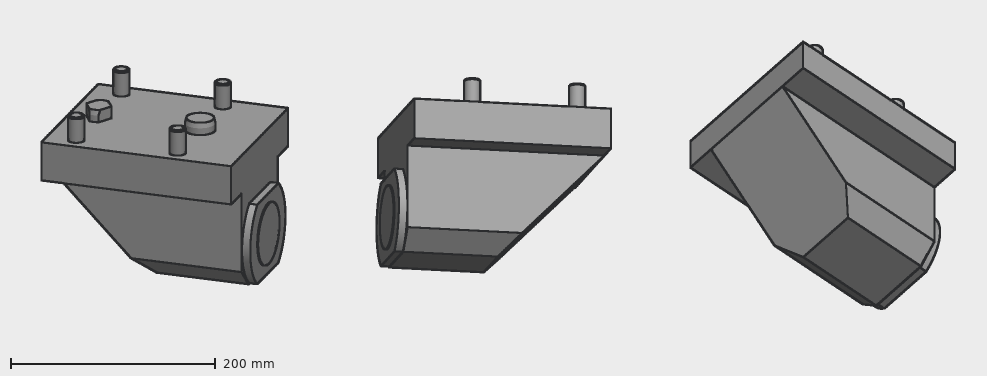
import cadquery as cq
import math

plate_length = 196.5
plate_width = 168.0
plate_thickness = 40.0
plate_top = plate_thickness

body_depth = 102.0
body_width = 106.5
body_edge_chamfer = 20.0

pin_diameter = 16.0
pin_height = 26.2
pin_chamfer = 1.5
pin_first_x = 30.0
pin_spacing_x = 104.9
pin_spacing_y = 133.3
pin_second_x = pin_first_x + pin_spacing_x

locator_diameter = 30.0
locator_height = 12.4
locator_chamfer_height = 5.5
locator_chamfer_inset = 1.5
diamond_width = 25.8
diamond_flank_angle = 60

total_length = 206.0
flange_diameter = 104.0
flange_height = 83.2
flange_thickness = 8.5
flange_center_z = 42.0 - body_depth
face_diameter = 63.0
face_thickness = total_length - plate_length - flange_thickness


def make_plate():
    return cq.Workplane("XY").box(
        plate_length, plate_width, plate_thickness, centered=(False, True, False)
    )


def make_body():
    side_outline = [
        (0, 0),
        (plate_length, 0),
        (plate_length, -body_depth),
        (body_depth, -body_depth),
    ]
    wedge = cq.Workplane("XZ").polyline(side_outline).close().extrude(body_width / 2, both=True)
    chamfered_bar = (
        cq.Workplane("XY", origin=(0, 0, -body_depth))
        .box(plate_length, body_width, body_depth, centered=(False, True, False))
        .edges("|X and <Z")
        .chamfer(body_edge_chamfer)
    )
    return wedge.intersect(chamfered_bar)


def make_pins():
    pin_centers = [
        (x, side * pin_spacing_y / 2)
        for x in (pin_first_x, pin_second_x)
        for side in (-1, 1)
    ]
    return (
        cq.Workplane("XY", origin=(0, 0, plate_top))
        .pushPoints(pin_centers)
        .circle(pin_diameter / 2)
        .extrude(pin_height)
        .faces(">Z")
        .chamfer(pin_chamfer)
    )


def make_round_locator(center_x):
    return (
        cq.Workplane("XY", origin=(center_x, 0, plate_top))
        .circle(locator_diameter / 2)
        .extrude(locator_height)
        .faces(">Z")
        .edges()
        .chamfer(locator_chamfer_height, locator_chamfer_inset)
    )


def make_diamond_locator(center_x):
    half_width = diamond_width / 2
    half_span = half_width * math.tan(math.radians(diamond_flank_angle))
    rhombus = [(-half_width, 0), (0, -half_span), (half_width, 0), (0, half_span)]
    flanks = (
        cq.Workplane("XY", origin=(center_x, 0, plate_top))
        .polyline(rhombus)
        .close()
        .extrude(locator_height)
    )
    return make_round_locator(center_x).intersect(flanks)


def make_flange():
    flange_plane = cq.Workplane("YZ", origin=(plate_length, 0, flange_center_z))
    disc = flange_plane.circle(flange_diameter / 2).extrude(flange_thickness)
    flats = flange_plane.rect(flange_diameter, flange_height).extrude(flange_thickness)
    raised_face = flange_plane.circle(face_diameter / 2).extrude(flange_thickness + face_thickness)
    return disc.intersect(flats).union(raised_face)


result = (
    make_plate()
    .union(make_body())
    .union(make_pins())
    .union(make_diamond_locator(pin_first_x))
    .union(make_round_locator(pin_second_x))
    .union(make_flange())
)